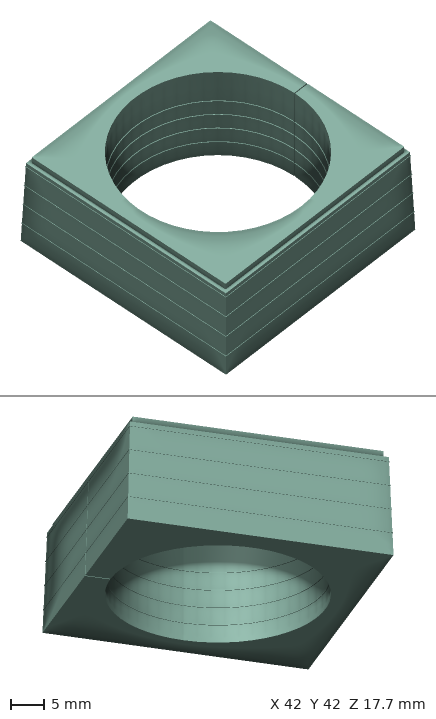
import cadquery as cq

base_width = 42.0
height = 17.7

shoulder_width = 40.85
shoulder_height = 16.5

lip_width = 39.65

bore_diameter = 34.0

rib_thickness = 0.1
outer_rib_projection = 0.1
bore_rib_projection = 0.13
outer_rib_first = 3.8
outer_rib_pitch = 4.0
outer_rib_count = 4
bore_rib_pitch = 2.9
bore_rib_count = 4

slit_width = 0.15


def wall_width(z):
    """Width of the drafted block at height z."""
    return base_width + (shoulder_width - base_width) * z / shoulder_height


def drafted_block():
    return (
        cq.Workplane("XY")
        .rect(base_width, base_width)
        .workplane(offset=shoulder_height)
        .rect(shoulder_width, shoulder_width)
        .loft(ruled=True)
    )


def top_lip():
    return cq.Workplane("XY").box(lip_width, lip_width, height, centered=(True, True, False))


def outer_rib(z):
    """Square plate whose rim stands proud of the side walls, centred on height z."""
    rib_span = wall_width(z) + 2 * outer_rib_projection
    return (
        cq.Workplane("XY", origin=(0, 0, z))
        .box(rib_span, rib_span, rib_thickness)
    )


def bore_rib(z):
    """Round ring standing proud of the bore wall, centred on height z."""
    return (
        cq.Workplane("XY", origin=(0, 0, z - rib_thickness / 2))
        .circle(bore_diameter / 2)
        .circle(bore_diameter / 2 - bore_rib_projection)
        .extrude(rib_thickness)
    )


def slit():
    """Thin radial gap from the bore out through the +Y wall."""
    return cq.Workplane("XY").box(slit_width, base_width, height, centered=(True, False, False))


result = drafted_block().union(top_lip())

for index in range(outer_rib_count):
    result = result.union(outer_rib(outer_rib_first + index * outer_rib_pitch))

result = result.cut(cq.Workplane("XY").circle(bore_diameter / 2).extrude(height))

for index in range(bore_rib_count):
    result = result.union(bore_rib((index + 1) * bore_rib_pitch))

result = result.cut(slit())